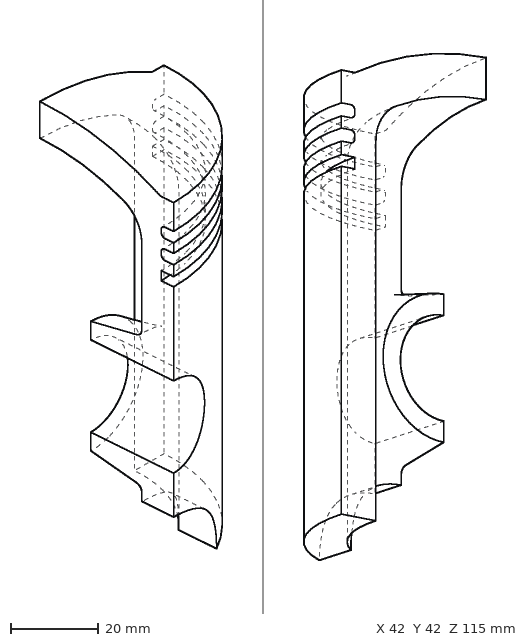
import cadquery as cq
import math

height = 115.0
outer_radius = 42.0

crown_radius = 80.0
rim_height = 105.5
rim_blend_radius = 2.3

bore_radius = 32.0
crown_thickness = 10.0
cavity_dome_radius = 63.2
cavity_corner_radius = 10.0

groove_floor_radius = outer_radius - 3.9
groove_corner_radius = 1.3
compression_groove_width = 3.1
compression_groove_bottoms = (94.5, 88.5)
oil_groove_width = 2.8
oil_groove_bottom = 82.6

pin_height = 44.5
pin_hole_radius = 12.5
boss_face_x = 16.0
boss_face_radius = 17.6
boss_draft_angle = 10.0
boss_fillet_radius = 2.0

relief_radius = 20.0


def revolve_quarter(profile):
    """Revolve an XZ profile from the +X side round to the +Y side."""
    return profile.revolve(90, (0, 0, 0), (0, 1, 0))


def x_cylinder(radius, center_height):
    """Cylinder along +X, long enough to pass through the skirt wall."""
    return cq.Workplane("YZ").center(0, center_height).circle(radius).extrude(2 * outer_radius)


def make_body():
    center_height = height - crown_radius
    blend_center_height = rim_height + rim_blend_radius
    center_distance = crown_radius + rim_blend_radius
    blend_center_radius = math.sqrt(center_distance**2 - (blend_center_height - center_height) ** 2)
    crown_share = crown_radius / center_distance
    crown_end = (
        blend_center_radius * crown_share,
        center_height + (blend_center_height - center_height) * crown_share,
    )
    half_angle = math.asin(crown_end[0] / crown_radius) / 2
    crown_middle = (
        crown_radius * math.sin(half_angle),
        center_height + crown_radius * math.cos(half_angle),
    )
    blend_middle = (
        blend_center_radius - rim_blend_radius * math.sin(half_angle),
        blend_center_height - rim_blend_radius * math.cos(half_angle),
    )
    profile = (
        cq.Workplane("XZ")
        .lineTo(outer_radius, 0)
        .lineTo(outer_radius, rim_height)
        .lineTo(blend_center_radius, rim_height)
        .threePointArc(blend_middle, crown_end)
        .threePointArc(crown_middle, (0, height))
        .close()
    )
    return revolve_quarter(profile)


def make_cavity():
    apex_height = height - crown_thickness
    dome_center_height = apex_height - cavity_dome_radius
    corner_center_radius = bore_radius - cavity_corner_radius
    center_distance = cavity_dome_radius - cavity_corner_radius
    corner_angle = math.asin(corner_center_radius / center_distance)
    corner_center_height = dome_center_height + center_distance * math.cos(corner_angle)
    dome_end = (
        cavity_dome_radius * math.sin(corner_angle),
        dome_center_height + cavity_dome_radius * math.cos(corner_angle),
    )
    dome_middle = (
        cavity_dome_radius * math.sin(corner_angle / 2),
        dome_center_height + cavity_dome_radius * math.cos(corner_angle / 2),
    )
    middle_angle = (corner_angle + math.pi / 2) / 2
    corner_middle = (
        corner_center_radius + cavity_corner_radius * math.sin(middle_angle),
        corner_center_height + cavity_corner_radius * math.cos(middle_angle),
    )
    profile = (
        cq.Workplane("XZ")
        .lineTo(bore_radius, 0)
        .lineTo(bore_radius, corner_center_height)
        .threePointArc(corner_middle, dome_end)
        .threePointArc(dome_middle, (0, apex_height))
        .close()
    )
    return revolve_quarter(profile)


def make_groove(bottom, width):
    """Square-cornered ring reaching out to the outer wall."""
    ring = (
        cq.Workplane("XZ")
        .moveTo(groove_floor_radius, bottom)
        .lineTo(outer_radius, bottom)
        .lineTo(outer_radius, bottom + width)
        .lineTo(groove_floor_radius, bottom + width)
        .close()
    )
    return revolve_quarter(ring)


def make_rounded_groove(bottom, width):
    """Ring with rounded corners along its floor."""
    floor_edges = cq.selectors.RadiusNthSelector(0)
    return make_groove(bottom, width).edges(floor_edges).fillet(groove_corner_radius)


def make_boss_cavity():
    """Cavity with the drafted pin boss left standing and its root rounded."""
    boss_length = outer_radius - boss_face_x
    boss = (
        cq.Workplane("YZ", origin=(boss_face_x, 0, pin_height))
        .circle(boss_face_radius)
        .extrude(boss_length, taper=-boss_draft_angle)
    )
    cavity = make_cavity().cut(boss)
    wall_reach = boss_face_radius + boss_length * math.tan(math.radians(boss_draft_angle))
    root_box = cq.selectors.BoxSelector(
        (boss_face_x + boss_fillet_radius, boss_fillet_radius, pin_height - wall_reach),
        (outer_radius, wall_reach, pin_height + wall_reach),
    )
    return cavity.edges(root_box).fillet(boss_fillet_radius)


result = make_body().cut(make_boss_cavity())
for groove_bottom in compression_groove_bottoms:
    result = result.cut(make_rounded_groove(groove_bottom, compression_groove_width))
result = result.cut(make_groove(oil_groove_bottom, oil_groove_width))
result = result.cut(x_cylinder(pin_hole_radius, pin_height))
result = result.cut(x_cylinder(relief_radius, 0))